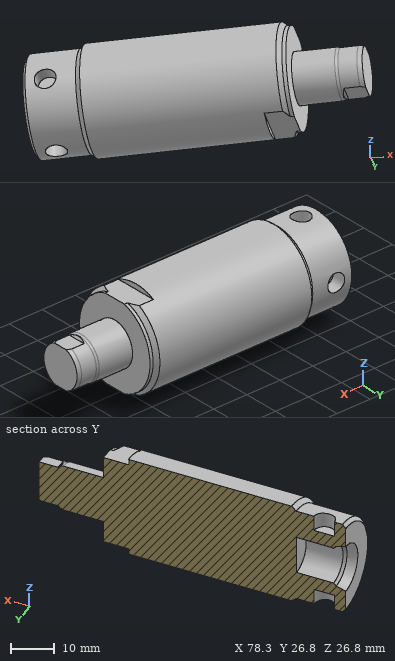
import cadquery as cq

total_length = 78.3
nose_end = 12.6
body_end = 60.9
collar_end = 61.9
shaft_shoulder = 72.0

nose_dia = 24.75
body_dia = 26.8
shaft_dia = 12.5
tip_dia = 12.1

nose_chamfer_length = 0.8
nose_chamfer_depth = 0.95
body_chamfer_length = 1.2
shoulder_chamfer_length = 0.7
tip_chamfer_length = 1.2
tip_chamfer_depth = 0.2

body_flat_start = 55.45
body_flat_height = 11.9
tip_flat_start = 73.4
tip_flat_height = 5.5
tip_ramp_rise = 1.6

mouth_dia = 12.45
seat_dia = 11.05
bore_dia = 9.7
seat_depth = 2.4
bore_start = seat_depth + (seat_dia - bore_dia) / 2
bore_depth = 12.5

spanner_hole_dia = 5.1
spanner_hole_x = 5.5
spanner_hole_depth = 4.0
spanner_hole_count = 4


def revolve_about_x(points):
    """Turn a closed (axial position, radius) outline about the X axis."""
    return cq.Workplane("XY").polyline(points).close().revolve(360, (0, 0, 0), (1, 0, 0))


def turned_body():
    nose_r = nose_dia / 2
    body_r = body_dia / 2
    shaft_r = shaft_dia / 2
    tip_r = tip_dia / 2
    return revolve_about_x([
        (0, 0),
        (0, nose_r - nose_chamfer_depth),
        (nose_chamfer_length, nose_r),
        (nose_end, nose_r),
        (nose_end + body_chamfer_length, body_r),
        (body_end - body_chamfer_length, body_r),
        (body_end, nose_r),
        (collar_end, nose_r),
        (collar_end, shaft_r),
        (shaft_shoulder, shaft_r),
        (shaft_shoulder + shoulder_chamfer_length, tip_r),
        (total_length - tip_chamfer_length, tip_r),
        (total_length, tip_r - tip_chamfer_depth),
        (total_length, 0),
    ])


def bore():
    return revolve_about_x([
        (0, 0),
        (0, mouth_dia / 2),
        (seat_depth, seat_dia / 2),
        (bore_start, bore_dia / 2),
        (bore_depth, bore_dia / 2),
        (bore_depth, 0),
    ])


def flat_pair(start, end, height, ramp_rise=0.0):
    """Material outside two opposite flats; a ramp rise slopes the start wall at 45 degrees."""
    top = height + (ramp_rise if ramp_rise else body_dia)
    upper = (
        cq.Workplane("XZ")
        .polyline([(start, height), (end, height), (end, top), (start - ramp_rise, top)])
        .close()
        .extrude(body_dia / 2, both=True)
    )
    return upper.union(upper.mirror("XY"))


def spanner_holes():
    floor_radius = nose_dia / 2 - spanner_hole_depth
    hole = (
        cq.Workplane("XY", origin=(spanner_hole_x, 0, floor_radius))
        .circle(spanner_hole_dia / 2)
        .extrude(body_dia)
    )
    holes = hole
    for index in range(1, spanner_hole_count):
        angle = index * 360 / spanner_hole_count
        holes = holes.union(hole.rotate((0, 0, 0), (1, 0, 0), angle))
    return holes


result = (
    turned_body()
    .cut(flat_pair(body_flat_start, collar_end, body_flat_height))
    .cut(flat_pair(tip_flat_start, total_length, tip_flat_height, tip_ramp_rise))
    .cut(bore())
    .cut(spanner_holes())
)